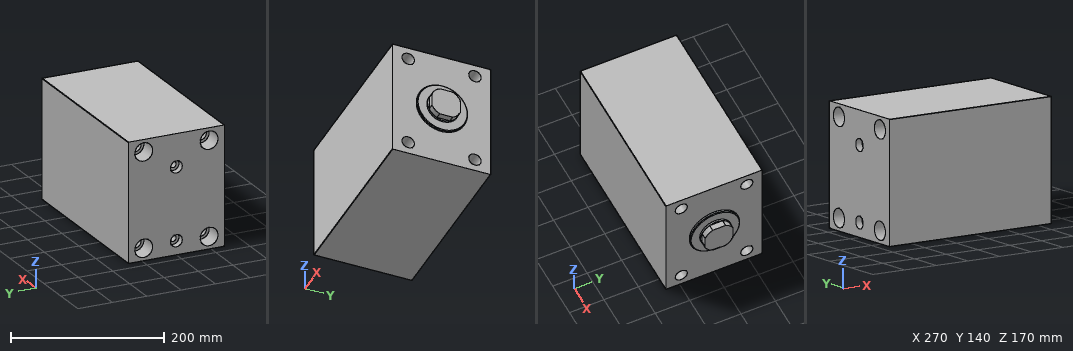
import cadquery as cq

TOTAL_LENGTH = 270.0
WIDTH = 140.0
HEIGHT = 170.0

EDGE_CHAMFER = 0.5

ROD_DIAMETER = 45.0
TIP_DIAMETER = 44.5
ROD_PROTRUSION = 15.0
FLAT_LENGTH = 9.0
ACROSS_FLATS = 40.5

GLAND_DIAMETER = 72.0
GLAND_THICKNESS = 3.5
GLAND_CHAMFER = 1.0

BOLT_SPACING_Y = 95.0
BOLT_SPACING_Z = 135.0
BOLT_HOLE_DIAMETER = 17.5
BOLT_HEAD_DIAMETER = 25.6
BOLT_HEAD_DEPTH = 25.6

PORT_HEIGHTS = (38.3, -65.0)
PORT_MOUTH_DIAMETER = 17.0
PORT_MOUTH_DEPTH = 10.0
PORT_BORE_DIAMETER = 9.0
PORT_BORE_DEPTH = 27.0

CLOSED_END = -TOTAL_LENGTH / 2
ROD_TIP = TOTAL_LENGTH / 2
HOUSING_LENGTH = TOTAL_LENGTH - ROD_PROTRUSION
ROD_END_FACE = CLOSED_END + HOUSING_LENGTH


def cylinder_along_x(x_start, length, diameter, y=0, z=0):
    """Round bar that starts at x_start and runs toward +X."""
    plane = cq.Workplane("YZ", origin=(x_start, y, z))
    return plane.circle(diameter / 2).extrude(length)


def make_housing():
    """Rectangular cylinder block with mounting holes and ports."""
    outline = cq.Workplane("YZ", origin=(CLOSED_END, 0, 0)).rect(WIDTH, HEIGHT)
    block = outline.extrude(HOUSING_LENGTH).edges("|X").chamfer(EDGE_CHAMFER)

    for y in (-BOLT_SPACING_Y / 2, BOLT_SPACING_Y / 2):
        for z in (-BOLT_SPACING_Z / 2, BOLT_SPACING_Z / 2):
            block = block.cut(cylinder_along_x(CLOSED_END, HOUSING_LENGTH, BOLT_HOLE_DIAMETER, y, z))
            block = block.cut(cylinder_along_x(CLOSED_END, BOLT_HEAD_DEPTH, BOLT_HEAD_DIAMETER, y, z))

    for z in PORT_HEIGHTS:
        block = block.cut(cylinder_along_x(CLOSED_END, PORT_MOUTH_DEPTH, PORT_MOUTH_DIAMETER, z=z))
        block = block.cut(cylinder_along_x(CLOSED_END, PORT_BORE_DEPTH, PORT_BORE_DIAMETER, z=z))

    return block


def make_gland():
    """Ring that fits closely around the rod, chamfered on its outer rim."""
    disc = cylinder_along_x(ROD_END_FACE, GLAND_THICKNESS, GLAND_DIAMETER)
    disc = disc.faces(">X").chamfer(GLAND_CHAMFER)
    return disc.cut(cylinder_along_x(ROD_END_FACE, GLAND_THICKNESS, ROD_DIAMETER))


def make_rod():
    """Exposed rod end: a plain shank, then a tip trimmed by the four wrench flats."""
    shank_length = ROD_PROTRUSION - FLAT_LENGTH
    flats_start = ROD_TIP - FLAT_LENGTH
    shank = cylinder_along_x(ROD_END_FACE, shank_length, ROD_DIAMETER)
    square = cq.Workplane("YZ", origin=(flats_start, 0, 0)).rect(ACROSS_FLATS, ACROSS_FLATS)
    tip = cylinder_along_x(flats_start, FLAT_LENGTH, TIP_DIAMETER).intersect(square.extrude(FLAT_LENGTH))
    return shank.union(tip)


housing = make_housing()
gland = make_gland()
rod = make_rod()

result = cq.Compound.makeCompound([housing.val(), gland.val(), rod.val()])